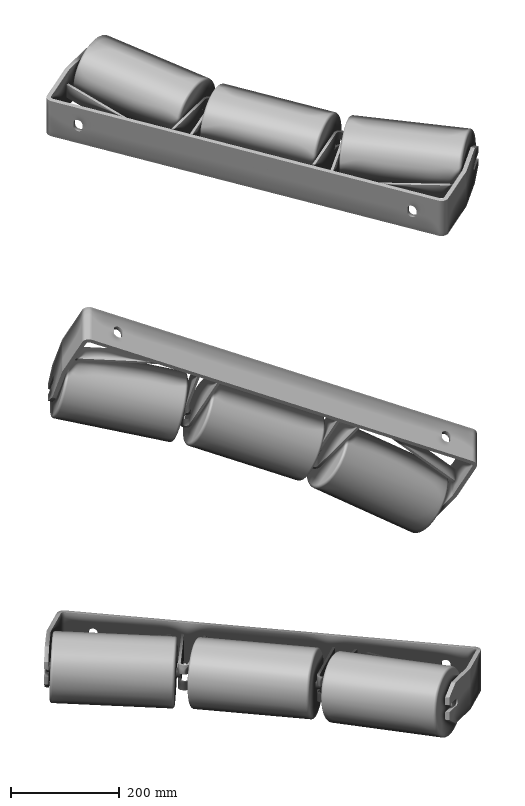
import cadquery as cq
import math

frame_length = 800.0
bar_height = 82.0
bar_thickness = 8.0
corner_radius = 13.5
arm_bend_y = 101.0
arm_tip_y = 200.0
arm_taper_length = 29.0
arm_tip_height = 45.0
mount_slot_spacing = 666.0
mount_slot_width = 18.0
mount_slot_height = 26.0

bracket_thickness = 5.0
bracket_height = 50.0
bracket_bend_radius = 12.0
bracket_inner_face_x = 119.0
bracket_top_y = 151.5

roller_diameter = 133.0
roller_length = 230.0
roller_edge_radius = 5.0
shaft_diameter = 20.0
shaft_flat_width = 14.0
shaft_length = 2 * (bracket_inner_face_x + bracket_thickness)
middle_roller_y = 124.0
middle_roller_z = -6.5
wing_angle = 10.0
wing_rise_angle = 1.7
wing_center = (262.5, 149.1, -3.6)

strut_thickness = 5.0
strut_height = 30.0
strut_angle = 21.0
strut_foot_x = 186.0

half_length = frame_length / 2
lean = math.tan(math.radians(wing_angle))
wing_cos = math.cos(math.radians(wing_angle))
wing_sin = math.sin(math.radians(wing_angle))
slot_end_overrun = 2 * bar_thickness
slot_reach = 200.0


def mirrored_pair(body):
    """The body on the +X side and its mirror image on the -X side."""
    return [body, body.mirror("YZ")]


def place_wing(body):
    """Move a body modelled along X at the origin to the +X outer roller position."""
    return (
        body.rotate((0, 0, 0), (0, 1, 0), -wing_rise_angle)
        .rotate((0, 0, 0), (0, 0, 1), wing_angle)
        .translate(wing_center)
    )


def place_middle(body):
    """Move a body modelled along X at the origin to the middle roller position."""
    return body.translate((0, middle_roller_y, middle_roller_z))


def cylinder_along_x(diameter, length):
    """Cylinder centred on the origin."""
    return cq.Workplane("YZ", origin=(-length / 2, 0, 0)).circle(diameter / 2).extrude(length)


def flatted_shaft(length):
    """Round shaft with a flat on its upper and lower sides."""
    flats = cq.Workplane("XY").box(length, shaft_diameter, shaft_flat_width)
    return cylinder_along_x(shaft_diameter, length).intersect(flats)


def make_roller():
    """Roller along X: rounded drum and flatted shaft ends, one solid."""
    drum = cylinder_along_x(roller_diameter, roller_length).edges("%CIRCLE").fillet(roller_edge_radius)
    return drum.union(flatted_shaft(shaft_length))


def shaft_slot():
    """Cutter for the open slot that a flatted shaft drops into from +Y."""
    cutter_length = shaft_length + 2 * slot_end_overrun
    throat = (
        cq.Workplane("XY")
        .box(cutter_length, slot_reach, shaft_flat_width)
        .translate((0, slot_reach / 2, 0))
    )
    return throat.union(flatted_shaft(cutter_length))


def round_corners(bar, x, y, radius):
    """Round the two upright edges of the bar that pass through (x, y) and (-x, y)."""
    reach = bar_thickness / 4
    for side_x in (-x, x):
        edge_here = cq.selectors.BoxSelector(
            (side_x - reach, y - reach, -bar_height), (side_x + reach, y + reach, bar_height)
        )
        bar = bar.edges("|Z").edges(edge_here).fillet(radius)
    return bar


def make_frame():
    """Base bar with two side arms that lean inward and carry the outer roller shafts."""
    tip_shift = (arm_tip_y - arm_bend_y) * lean
    inner_x = half_length - bar_thickness
    inner_radius = corner_radius - bar_thickness
    inner_bend_y = arm_bend_y - bar_thickness * math.tan(math.radians(wing_angle / 2))
    inner_tip_x = inner_x - (arm_tip_y - inner_bend_y) * lean
    outline = [
        (-half_length, 0),
        (half_length, 0),
        (half_length, arm_bend_y),
        (half_length - tip_shift, arm_tip_y),
        (inner_tip_x, arm_tip_y),
        (inner_x, inner_bend_y),
        (inner_x, bar_thickness),
    ]
    outline += [(-x, y) for x, y in reversed(outline[2:])]
    frame = cq.Workplane("XY").polyline(outline).close().extrude(bar_height / 2, both=True)
    frame = round_corners(frame, half_length, 0, corner_radius)
    frame = round_corners(frame, inner_x, bar_thickness, inner_radius)
    frame = round_corners(frame, half_length, arm_bend_y, corner_radius)
    frame = round_corners(frame, inner_x, inner_bend_y, inner_radius)

    taper_start_y = arm_tip_y - arm_taper_length
    side_profile = (
        cq.Workplane("YZ")
        .moveTo(0, -bar_height / 2)
        .lineTo(taper_start_y, -bar_height / 2)
        .lineTo(arm_tip_y, -arm_tip_height / 2)
        .lineTo(arm_tip_y, arm_tip_height / 2)
        .lineTo(taper_start_y, bar_height / 2)
        .lineTo(0, bar_height / 2)
        .close()
        .extrude(half_length, both=True)
    )
    frame = frame.intersect(side_profile)

    mount_slots = (
        cq.Workplane("XZ")
        .pushPoints([(-mount_slot_spacing / 2, 0), (mount_slot_spacing / 2, 0)])
        .slot2D(mount_slot_height, mount_slot_width, 90)
        .extrude(-bar_thickness)
    )
    frame = frame.cut(mount_slots)

    for slot in mirrored_pair(place_wing(shaft_slot())):
        frame = frame.cut(slot)
    return frame


def bracket_outline(offset):
    """Inverted U at a distance inside the bracket's outer surface, closed along the base bar."""
    radius = bracket_bend_radius - offset
    fold_x = bracket_inner_face_x + bracket_bend_radius
    fold_y = bracket_top_y - bracket_bend_radius
    lean_start = (fold_x + radius * wing_cos, fold_y + radius * wing_sin)
    foot_x = lean_start[0] + (lean_start[1] - bar_thickness) * lean
    return (
        cq.Workplane("XY", origin=(0, 0, middle_roller_z))
        .moveTo(fold_x - radius, bar_thickness)
        .lineTo(fold_x - radius, fold_y)
        .threePointArc((fold_x, fold_y + radius), lean_start)
        .lineTo(foot_x, bar_thickness)
        .close()
        .extrude(bracket_height / 2, both=True)
    )


def make_bracket():
    """Inverted U whose upright leg holds the middle roller and leaning leg an outer roller."""
    bracket = bracket_outline(0).cut(bracket_outline(bracket_thickness))
    return bracket.cut(place_middle(shaft_slot())).cut(place_wing(shaft_slot()))


def make_strut():
    """Straight brace from the base bar up to the inside of the side arm."""
    angle = math.radians(strut_angle)
    wall_x = half_length - bar_thickness
    length = (wall_x - strut_foot_x) / math.cos(angle)
    return (
        cq.Workplane("XY")
        .rect(length, strut_thickness, centered=False)
        .extrude(strut_height / 2, both=True)
        .rotate((0, 0, 0), (0, 0, 1), strut_angle)
        .translate((strut_foot_x, bar_thickness, 0))
    )


frame = make_frame()
brackets = mirrored_pair(make_bracket())
struts = mirrored_pair(make_strut())
middle_roller = place_middle(make_roller())
wing_rollers = mirrored_pair(place_wing(make_roller()))

bodies = [frame, *brackets, *struts, middle_roller, *wing_rollers]
result = cq.Compound.makeCompound([body.val() for body in bodies])